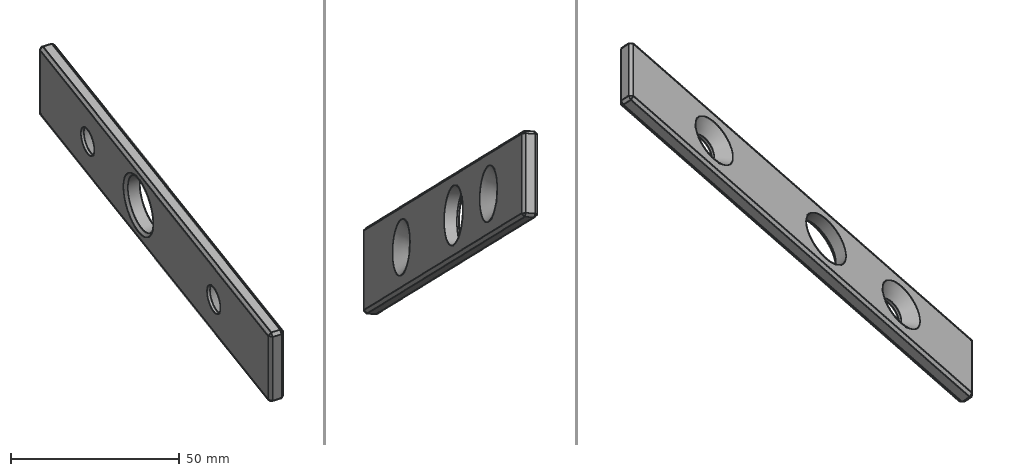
import cadquery as cq

length = 155.1
thickness = 5.0
height = 26.0
edge_chamfer = 1.0

FRONT = -1
BACK = 1

small_hole_diameter = 9.0
small_hole_positions = (-44.5, 40.0)
small_hole_land = 1.0
countersink_depth = thickness - small_hole_land
large_hole_position = -10.5
large_hole_diameter = 18.0
large_hole_chamfer = 1.0


def through_hole(x_position, diameter):
    """Cylinder along Y that passes through the whole thickness."""
    return (
        cq.Workplane("XZ")
        .center(x_position, 0)
        .circle(diameter / 2)
        .extrude(thickness / 2, both=True)
    )


def countersink(x_position, diameter, depth, side):
    """45 degree cone that opens a hole toward the front (side = -1) or back (side = 1) face."""
    radius = diameter / 2
    cone = cq.Solid.makeCone(
        radius + depth,
        radius,
        depth,
        pnt=cq.Vector(x_position, side * thickness / 2, 0),
        dir=cq.Vector(0, -side, 0),
    )
    return cq.Workplane(cone)


bar = cq.Workplane("XY").box(length, thickness, height).edges().chamfer(edge_chamfer)

for position in small_hole_positions:
    bar = bar.cut(through_hole(position, small_hole_diameter))
    bar = bar.cut(countersink(position, small_hole_diameter, countersink_depth, BACK))

bar = bar.cut(through_hole(large_hole_position, large_hole_diameter))
bar = bar.cut(countersink(large_hole_position, large_hole_diameter, large_hole_chamfer, FRONT))

result = bar